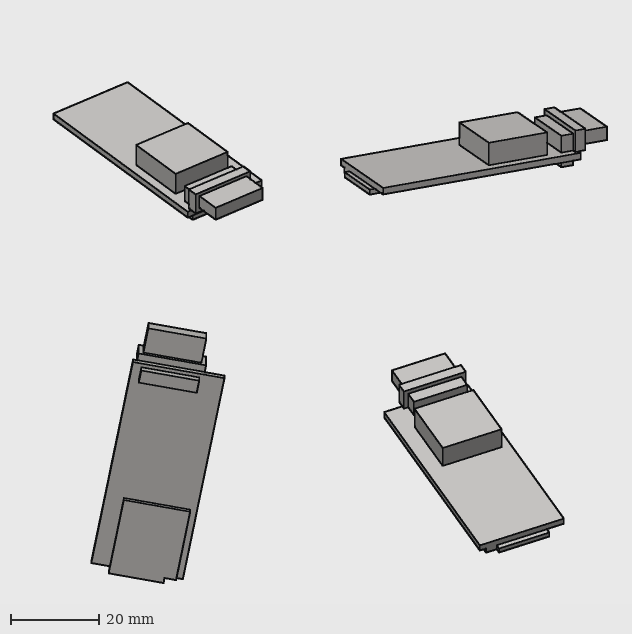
import cadquery as cq

board_length = 50.15
board_width = 21.1
board_thickness = 1.6
board_left = 1.25
board_bottom = 1.95
board_top = board_bottom + board_thickness

chip_side = 14.75
chip_height = 5.45
chip_left = 29.2
chip_center_y = -0.915

card_length = 18.3
card_width = 12.65
card_thickness = 1.25
socket_back_y = 9.0
card_front_y = -card_width / 2
socket_length = card_length - board_left
socket_width = socket_back_y - card_front_y

connector_center_y = -1.8
connector_width = 13.35
body_left = 47.5
body_length = 3.0
body_top = 7.6
flange_length = 2.55
flange_width = 15.55
flange_height = 5.2
plug_length = 6.0
plug_bottom = 4.6
plug_thickness = 3.25
flange_left = body_left + body_length
plug_left = flange_left + flange_length


def block(left, center_y, bottom, length, width, height):
    """Box given by its left end, its middle in Y and its underside."""
    return cq.Workplane("XY").box(length, width, height, centered=(False, True, False)).translate(
        (left, center_y, bottom)
    )


board = block(board_left, 0, board_bottom, board_length, board_width, board_thickness)
chip = block(chip_left, chip_center_y, board_top, chip_side, chip_side, chip_height)

card_bottom = board_bottom - card_thickness
socket_center_y = (socket_back_y + card_front_y) / 2
card = block(0, 0, card_bottom, card_length, card_width, card_thickness)
socket = block(board_left, socket_center_y, card_bottom, socket_length, socket_width, card_thickness)

body = block(body_left, connector_center_y, 0, body_length, connector_width, body_top)
flange = block(flange_left, connector_center_y, board_top, flange_length, flange_width, flange_height)
plug = block(plug_left, connector_center_y, plug_bottom, plug_length, connector_width, plug_thickness)

result = board
for component in (chip, card, socket, body, flange, plug):
    result = result.union(component)
result = result.clean()